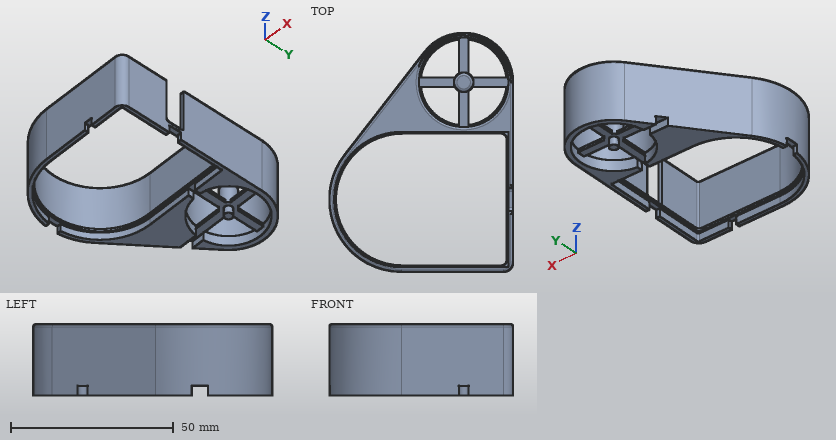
import cadquery as cq
import math

length_x = 56.5
length_y = 73.5
height = 22.0
wall = 1.5
rim_round = 0.9
corner_radius = 3.0

bay_outer_radius = 22.3
bay_radius = bay_outer_radius - wall
right_x = length_x - bay_outer_radius
bay_right_x = right_x - wall
bay_corner_radius = 0.5

cup_diameter = 27.5
cup_radius = cup_diameter / 2
cup_outer_radius = cup_radius + wall
cup_x = right_x - cup_outer_radius
cup_y = length_y - bay_outer_radius - cup_outer_radius

channel_size = 3.0
floor_bottom = channel_size
floor_thickness = 1.0
floor_top = floor_bottom + floor_thickness
floor_lip = 0.5
spoke_width = channel_size
hub_diameter = 6.0
hub_top = 11.7
hub_round = 0.95
pin_diameter = 3.0

ledge_width = 0.6
ledge_bottom = channel_size
ledge_thickness = 1.0
ledge_top = ledge_bottom + ledge_thickness
ledge_corner_radius = 1.5

base_notch_width = 4.85
side_slot_width = 7.05
side_slot_bottom = 4.5
slot_round = 1.1

overlap = 0.7


def arc_point(center, radius, angle):
    return center[0] + radius * math.cos(angle), center[1] + radius * math.sin(angle)


def box_between(low, high):
    size = [b - a for a, b in zip(low, high)]
    return cq.Workplane("XY").box(*size, centered=False).translate(low)


def cup_cylinder(radius, bottom, top):
    return cq.Workplane("XY", origin=(cup_x, cup_y, bottom)).circle(radius).extrude(top - bottom)


def outer_body():
    """Solid teardrop: two round ends joined by their outer tangent."""
    spacing = math.hypot(cup_x, cup_y)
    tangent_angle = math.atan2(cup_y, cup_x) + math.acos((bay_outer_radius - cup_outer_radius) / spacing)
    bay_center = (0, 0)
    cup_center = (cup_x, cup_y)
    bay_arc_middle = (tangent_angle + 1.5 * math.pi) / 2
    body = (
        cq.Workplane("XY")
        .moveTo(0, -bay_outer_radius)
        .lineTo(right_x - corner_radius, -bay_outer_radius)
        .radiusArc((right_x, corner_radius - bay_outer_radius), -corner_radius)
        .lineTo(right_x, cup_y)
        .threePointArc(
            arc_point(cup_center, cup_outer_radius, tangent_angle / 2),
            arc_point(cup_center, cup_outer_radius, tangent_angle),
        )
        .lineTo(*arc_point(bay_center, bay_outer_radius, tangent_angle))
        .threePointArc(
            arc_point(bay_center, bay_outer_radius, bay_arc_middle),
            (0, -bay_outer_radius),
        )
        .close()
        .extrude(height)
    )
    return body.faces(">Z").edges().fillet(rim_round)


def bay_prism(inset, bottom, top):
    """D-shaped prism, inset from the bay wall, with square right-hand corners."""
    radius = bay_radius - inset
    x = bay_right_x - inset
    return (
        cq.Workplane("XY", origin=(0, 0, bottom))
        .moveTo(0, -radius)
        .lineTo(x, -radius)
        .lineTo(x, radius)
        .lineTo(0, radius)
        .threePointArc((-radius, 0), (0, -radius))
        .close()
        .extrude(top - bottom)
    )


def bay_cavity():
    cavity = bay_prism(0, -overlap, height + overlap)
    return cavity.edges("|Z and >X and <Y").fillet(bay_corner_radius)


def bay_ledge():
    opening = bay_prism(ledge_width, ledge_bottom, ledge_top)
    opening = opening.edges("|Z and >X").fillet(ledge_corner_radius)
    embed = wall / 4
    return bay_prism(-embed, ledge_bottom, ledge_top).cut(opening)


def cup_cavity():
    """Cup bore with a rounded mouth, above the smaller opening in the floor."""
    mouth_radius = cup_radius + rim_round
    diagonal = rim_round * math.sqrt(0.5)
    bore = (
        cq.Workplane("XZ")
        .moveTo(0, floor_top)
        .lineTo(cup_radius, floor_top)
        .lineTo(cup_radius, height - rim_round)
        .threePointArc(
            (mouth_radius - diagonal, height - rim_round + diagonal),
            (mouth_radius, height),
        )
        .lineTo(mouth_radius, height + overlap)
        .lineTo(0, height + overlap)
        .close()
        .revolve(360, (0, 0, 0), (0, 1, 0))
        .translate((cup_x, cup_y, 0))
    )
    return bore.union(cup_cylinder(cup_radius - floor_lip, -overlap, floor_top + overlap))


def cup_cross():
    """Spokes, hub and pin carried across the floor opening."""
    spokes = cq.Workplane("XY", origin=(cup_x, cup_y, floor_bottom))
    spokes = spokes.rect(cup_diameter, spoke_width).extrude(floor_thickness)
    cross = spokes.union(spokes.rotate((cup_x, cup_y, 0), (cup_x, cup_y, 1), 90))
    hub = cup_cylinder(hub_diameter / 2, floor_bottom, hub_top)
    hub = hub.faces(">Z").edges().fillet(hub_round)
    pin = cup_cylinder(pin_diameter / 2, 0, floor_bottom + floor_thickness / 2)
    return cross.union(hub).union(pin)


def base_channels():
    """Low channels from the cup to the left and front, and a notch across the bay."""
    half = channel_size / 2
    left = -bay_outer_radius - overlap
    front = -bay_outer_radius - overlap
    to_left = box_between((left, cup_y - half, -overlap), (cup_x, cup_y + half, channel_size))
    to_front = box_between((cup_x - half, front, -overlap), (cup_x + half, cup_y, channel_size))
    half_notch = base_notch_width / 2
    across_bay = box_between(
        (left, -half_notch, -overlap),
        (right_x + overlap, half_notch, channel_size),
    )
    return to_left.union(to_front).union(across_bay)


def side_slot():
    """Slot in the right wall: rounded lower corners and a mouth that flares at the rim."""
    half = side_slot_width / 2
    top = height + overlap
    return (
        cq.Workplane("YZ", origin=(bay_right_x, 0, 0))
        .moveTo(slot_round - half, side_slot_bottom)
        .lineTo(half - slot_round, side_slot_bottom)
        .radiusArc((half, side_slot_bottom + slot_round), -slot_round)
        .lineTo(half, height - slot_round)
        .radiusArc((half + slot_round, height), slot_round)
        .lineTo(half + slot_round, top)
        .lineTo(-half - slot_round, top)
        .lineTo(-half - slot_round, height)
        .radiusArc((-half, height - slot_round), slot_round)
        .lineTo(-half, side_slot_bottom + slot_round)
        .radiusArc((slot_round - half, side_slot_bottom), -slot_round)
        .close()
        .extrude(wall + overlap)
    )


body = outer_body().cut(bay_cavity()).union(bay_ledge())
body = body.cut(cup_cavity()).cut(base_channels()).cut(side_slot())
result = body.union(cup_cross())